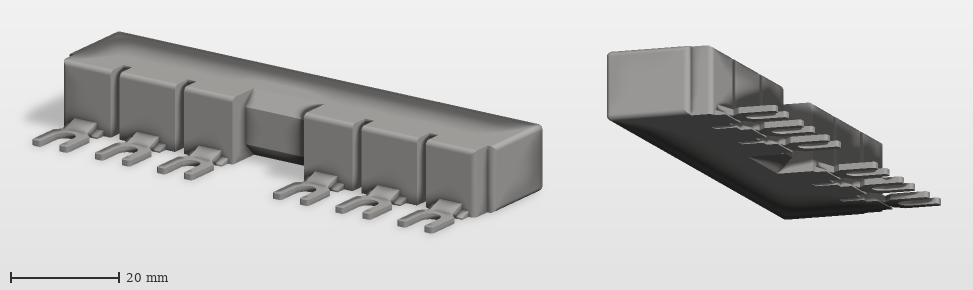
import cadquery as cq
import math


LENGTH = 95.5
HEIGHT = 13.0
BODY_DEPTH = 16.3
TOOTH_DEPTH = 20.4
END_STEP = 1.5
EDGE_RADIUS = 1.0
SLOT_WIDTH = 2.0
SLOT_OFFSETS = (19.9, 34.3)
RECESS_WIDTH = 15.95
RECESS_CHAMFER = 2.9

TERMINAL_REACH = 32.3
SHEET = 1.1
BEND_DEPTH = 23.6
STEM_RISE = 1.1
STEM_WIDTH = 5.0
FORK_WIDTH = 8.0
FORK_SLOT_WIDTH = 4.0
FORK_SLOT_TOP = 25.2
PRONG_RADIUS = 0.6
FIRST_TERMINAL = 13.0
TERMINAL_PITCH = 13.9
TERMINALS_PER_SIDE = 3

RAMP_LENGTH = 2.1

stem_slope = STEM_RISE / (BEND_DEPTH - TOOTH_DEPTH)
stem_angle = math.atan(stem_slope)
underside_bend = BEND_DEPTH - SHEET * math.tan(stem_angle / 2)


def stem_underside(depth):
    """Height of the stem underside at a distance from the back of the housing."""
    return stem_slope * (underside_bend - depth)


def block(width, back, front, x=0.0):
    """Full-height block between two distances from the back of the housing."""
    blank = cq.Workplane("XY").box(width, front - back, HEIGHT, centered=(True, False, False))
    return blank.translate((x, -front, 0))


def prism_along_x(points, width, x=0.0):
    """Prism centred on x, with its profile given as (Y, Z) points."""
    return cq.Workplane("YZ").polyline(points).close().extrude(width / 2, both=True).translate((x, 0, 0))


def make_body():
    """Main block, rounded around both end faces and along the back edges."""
    body = block(LENGTH, 0, BODY_DEPTH)
    return body.edges("<X or >X or (>Y and |X)").fillet(EDGE_RADIUS)


def make_tooth_row():
    """Front row of teeth as one bar, rounded along the top front and the outer corners."""
    hidden_back = BODY_DEPTH / 2
    row = block(LENGTH - 2 * END_STEP, hidden_back, TOOTH_DEPTH)
    return row.edges("<Y and (|Z or >Z)").fillet(EDGE_RADIUS)


def make_recess():
    """Middle gap between the teeth; the wall behind it is chamfered at top and bottom."""
    chamfer_back = BODY_DEPTH - RECESS_CHAMFER
    points = [
        (-TOOTH_DEPTH, 0),
        (-chamfer_back, 0),
        (-BODY_DEPTH, RECESS_CHAMFER),
        (-BODY_DEPTH, HEIGHT - RECESS_CHAMFER),
        (-chamfer_back, HEIGHT),
        (-TOOTH_DEPTH, HEIGHT),
    ]
    return prism_along_x(points, RECESS_WIDTH)


def make_ramp(x):
    """Wedge on the front of a tooth that carries the stem of a terminal."""
    tip = TOOTH_DEPTH + RAMP_LENGTH
    points = [
        (-TOOTH_DEPTH, 0),
        (-TOOTH_DEPTH, stem_underside(TOOTH_DEPTH)),
        (-tip, stem_underside(tip)),
        (-tip, 0),
    ]
    return prism_along_x(points, FORK_WIDTH, x)


def make_housing(terminal_places):
    """Slotted housing with a support ramp at each terminal."""
    housing = make_body().union(make_tooth_row()).cut(make_recess())
    for offset in SLOT_OFFSETS:
        for side in (-1, 1):
            housing = housing.cut(block(SLOT_WIDTH, BODY_DEPTH, TOOTH_DEPTH, side * offset))
    for x in terminal_places:
        housing = housing.union(make_ramp(x))
    return housing


def make_fork_plan():
    """Plan outline of a terminal, extruded tall enough to hold the bent sheet."""
    half_stem = STEM_WIDTH / 2
    half_fork = FORK_WIDTH / 2
    shoulder_depth = BEND_DEPTH + half_fork - half_stem
    slot_radius = FORK_SLOT_WIDTH / 2
    slot_centre = FORK_SLOT_TOP + slot_radius
    outline = (
        cq.Workplane("XY")
        .moveTo(-half_stem, -TOOTH_DEPTH)
        .lineTo(half_stem, -TOOTH_DEPTH)
        .lineTo(half_stem, -BEND_DEPTH)
        .lineTo(half_fork, -shoulder_depth)
        .lineTo(half_fork, -TERMINAL_REACH)
        .lineTo(slot_radius, -TERMINAL_REACH)
        .lineTo(slot_radius, -slot_centre)
        .threePointArc((0, -FORK_SLOT_TOP), (-slot_radius, -slot_centre))
        .lineTo(-slot_radius, -TERMINAL_REACH)
        .lineTo(-half_fork, -TERMINAL_REACH)
        .lineTo(-half_fork, -shoulder_depth)
        .lineTo(-half_stem, -BEND_DEPTH)
        .close()
    )
    plan = outline.extrude(HEIGHT)
    return plan.edges("|Z and <Y").fillet(PRONG_RADIUS)


def make_bent_sheet():
    """Side profile of a terminal: a level fork and a stem that climbs to the housing."""
    points = [
        (-TERMINAL_REACH, 0),
        (-underside_bend, 0),
        (-TOOTH_DEPTH, stem_underside(TOOTH_DEPTH)),
        (-TOOTH_DEPTH, SHEET + STEM_RISE),
        (-BEND_DEPTH, SHEET),
        (-TERMINAL_REACH, SHEET),
    ]
    return prism_along_x(points, FORK_WIDTH)


def make_terminal(x):
    """Forked sheet-metal terminal, centred on x and resting against the front of a tooth."""
    return make_fork_plan().intersect(make_bent_sheet()).translate((x, 0, 0))


terminal_places = [
    side * (FIRST_TERMINAL + index * TERMINAL_PITCH)
    for side in (-1, 1)
    for index in range(TERMINALS_PER_SIDE)
]

housing = make_housing(terminal_places)
terminals = [make_terminal(x) for x in terminal_places]

result = cq.Compound.makeCompound([
    housing.solids().val(),
    *[terminal.solids().val() for terminal in terminals],
])